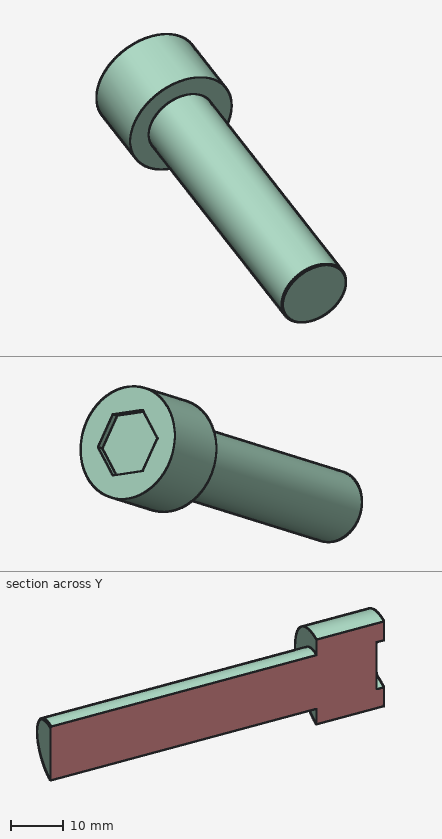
import cadquery as cq
import math

head_diameter = 22.0
head_length = 14.0
shank_diameter = 14.0
shank_length = 55.0
tip_chamfer = 0.2

socket_sides = 6
socket_across_flats = 12.0
socket_across_corners = socket_across_flats / math.cos(math.pi / socket_sides)
socket_depth = 1.5


def cylinder_along_x(start, length, diameter):
    """Solid cylinder centred on the X axis, running from start toward +X."""
    return cq.Workplane("YZ", origin=(start, 0, 0)).circle(diameter / 2).extrude(length)


def make_head():
    return cylinder_along_x(0, head_length, head_diameter)


def make_shank():
    shank = cylinder_along_x(head_length, shank_length, shank_diameter)
    return shank.faces(">X").chamfer(tip_chamfer)


def make_socket():
    """Hexagonal prism with corners on the Y axis and flats facing up and down."""
    return (
        cq.Workplane("YZ")
        .polygon(socket_sides, socket_across_corners)
        .extrude(socket_depth)
    )


result = make_head().union(make_shank()).cut(make_socket())